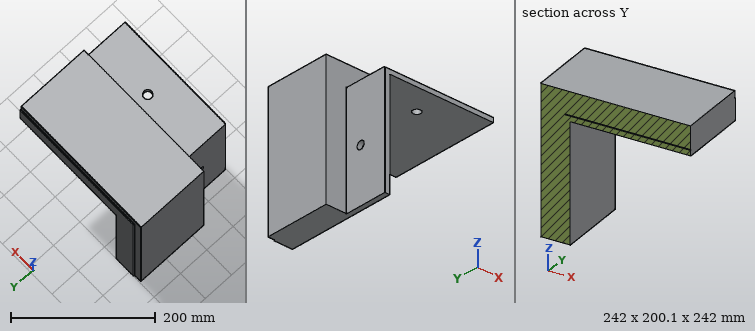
import cadquery as cq

leg_length = 242.0
total_depth = 200.1

block_front = 78.5
block_thickness = 38.0
back_plate_thickness = 2.0
back_plate_offset = 12.0
back_layer_thickness = 1.0
back_layer_inset = 0.2

flange_offset = 38.5
flange_inner_offset = 48.0
edge_chamfer = 1.2
step_depth = flange_offset - block_thickness

hole_diameter = 14.3
hole_from_front = 49.9
hole_from_end = 98.3

plate_front = total_depth - back_plate_thickness
layer_front = plate_front - back_layer_thickness


def angle_section(outer_offset, inner_offset, front, back):
    """Extrude an L, with each offset measured inward from the block's outer faces."""
    outer_top = leg_length - outer_offset
    inner_top = leg_length - inner_offset
    return (
        cq.Workplane("XZ", origin=(0, front, 0))
        .moveTo(outer_offset, 0)
        .lineTo(outer_offset, outer_top)
        .lineTo(leg_length, outer_top)
        .lineTo(leg_length, inner_top)
        .lineTo(inner_offset, inner_top)
        .lineTo(inner_offset, 0)
        .close()
        .extrude(front - back)
    )


def chamfer_outer_edges(section, offset, face):
    """Bevel the two outer edges of an L on its front ("<Y") or back (">Y") face."""
    middle = leg_length - offset
    outer_edges = section.faces(face).edges(
        cq.selectors.BoxSelector(
            (offset - edge_chamfer, -edge_chamfer, 0),
            (offset + edge_chamfer, total_depth + edge_chamfer, middle),
        )
        + cq.selectors.BoxSelector(
            (offset, -edge_chamfer, middle - edge_chamfer),
            (leg_length, total_depth + edge_chamfer, middle + edge_chamfer),
        )
    )
    return outer_edges.chamfer(edge_chamfer)


block_core = angle_section(0, flange_inner_offset, block_front + step_depth, layer_front)
block_face = angle_section(0, block_thickness, block_front, block_front + step_depth)
block = block_core.union(block_face)

flange = angle_section(flange_offset, flange_inner_offset, 0, block_front + step_depth)
flange = chamfer_outer_edges(flange, flange_offset, "<Y")

back_layer = angle_section(back_layer_inset, flange_inner_offset, layer_front, plate_front)
back_plate = angle_section(back_plate_offset, flange_inner_offset, plate_front, total_depth)
back_plate = chamfer_outer_edges(back_plate, back_plate_offset, ">Y")

hole_radius = hole_diameter / 2
upper_hole = cq.Workplane("XY", origin=(leg_length - hole_from_end, hole_from_front, 0)).circle(
    hole_radius
).extrude(leg_length)
side_hole = cq.Workplane("YZ", origin=(0, hole_from_front, hole_from_end)).circle(
    hole_radius
).extrude(leg_length)

result = block.union(flange).union(back_layer).union(back_plate).cut(upper_hole).cut(side_hole)